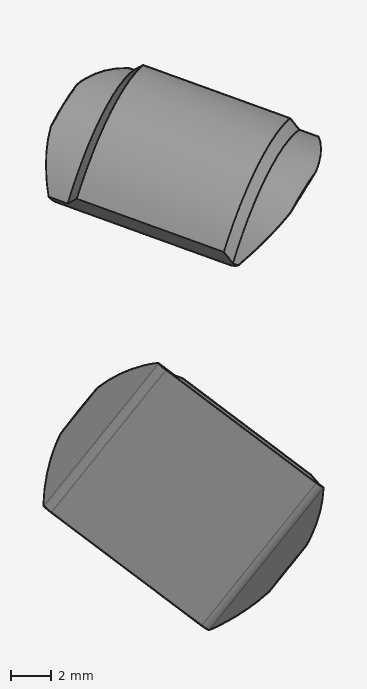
import cadquery as cq
import math

length = 13.2
width = 9.3
height = 2.25

crown_radius = 8.43
step_height = 0.51
ledge_radius = crown_radius - step_height
axis_z = height - crown_radius

bevel_angle = 45.0
bevel_top_z = 1.58
bottom_edge_radius = 0.66

crown_top_half_length = 4.05
wall_run = 0.5
crown_foot_half_length = crown_top_half_length + wall_run
skew_angle = 4.6

half_length = length / 2
half_width = width / 2


def arch_section(x, radius):
    """Wire in the YZ plane at x: flat bottom, upright sides and an arched top."""
    shoulder_z = axis_z + math.sqrt(radius**2 - half_width**2)
    return (
        cq.Workplane("YZ", origin=(x, 0, 0))
        .moveTo(-half_width, 0)
        .lineTo(-half_width, shoulder_z)
        .threePointArc((0, axis_z + radius), (half_width, shoulder_z))
        .lineTo(half_width, 0)
        .close()
        .val()
    )


def ledge_body():
    """Full-length arched slab that forms the ledges at both ends."""
    section = arch_section(-half_length, ledge_radius)
    return cq.Workplane("YZ").add(section).toPending().extrude(length)


def crown_body():
    """Raised arch with sloping ends, sheared along X in proportion to Y."""
    sections = [
        arch_section(-crown_foot_half_length, ledge_radius),
        arch_section(-crown_top_half_length, crown_radius),
        arch_section(crown_top_half_length, crown_radius),
        arch_section(crown_foot_half_length, ledge_radius),
    ]
    straight_crown = cq.Solid.makeLoft(sections, True)
    shear = -math.tan(math.radians(skew_angle))
    skew = cq.Matrix([[1, shear, 0, 0], [0, 1, 0, 0], [0, 0, 1, 0]])
    return cq.Workplane(straight_crown.transformGeometry(skew))


def end_bevel_envelope():
    """Lengthwise outline with bevelled ends and rounded bottom edges."""
    bottom_half_length = half_length - bevel_top_z / math.tan(math.radians(bevel_angle))
    outline = [
        (-bottom_half_length, 0),
        (bottom_half_length, 0),
        (half_length, bevel_top_z),
        (half_length, height),
        (-half_length, height),
        (-half_length, bevel_top_z),
    ]
    envelope = cq.Workplane("XZ").polyline(outline).close().extrude(half_width, both=True)
    return envelope.faces("<Z").edges("|Y").fillet(bottom_edge_radius)


result = ledge_body().union(crown_body()).intersect(end_bevel_envelope())